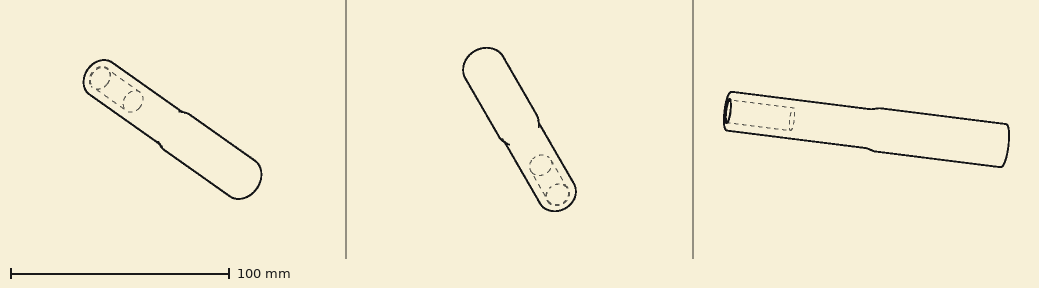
import cadquery as cq
import math

total_length = 130.0
large_radius = 10.0
small_radius = 9.0
edge_fillet = 1.0

large_length = 60.0
taper_angle = 15.0
taper_length = (large_radius - small_radius) / math.tan(math.radians(taper_angle))
left_end = -total_length / 2
right_end = total_length / 2
taper_end = right_end - large_length
taper_start = taper_end - taper_length

bore_radius = 5.25
bore_depth = 30.0
mouth_chamfer = 0.35


def make_body():
    """Stepped round bar along X with a conical shoulder and rounded end edges."""
    profile = (
        cq.Workplane("XZ")
        .moveTo(left_end, 0)
        .lineTo(left_end, small_radius - edge_fillet)
        .radiusArc((left_end + edge_fillet, small_radius), edge_fillet)
        .lineTo(taper_start, small_radius)
        .lineTo(taper_end, large_radius)
        .lineTo(right_end - edge_fillet, large_radius)
        .radiusArc((right_end, large_radius - edge_fillet), edge_fillet)
        .lineTo(right_end, 0)
        .close()
    )
    return profile.revolve(360, (0, 0, 0), (1, 0, 0))


def make_bore():
    """Flat-bottomed bore entering from the small end, with a chamfered mouth."""
    bore_floor = left_end + bore_depth
    profile = (
        cq.Workplane("XZ")
        .moveTo(left_end, 0)
        .lineTo(left_end, bore_radius + mouth_chamfer)
        .lineTo(left_end + mouth_chamfer, bore_radius)
        .lineTo(bore_floor, bore_radius)
        .lineTo(bore_floor, 0)
        .close()
    )
    return profile.revolve(360, (0, 0, 0), (1, 0, 0))


result = make_body().cut(make_bore())